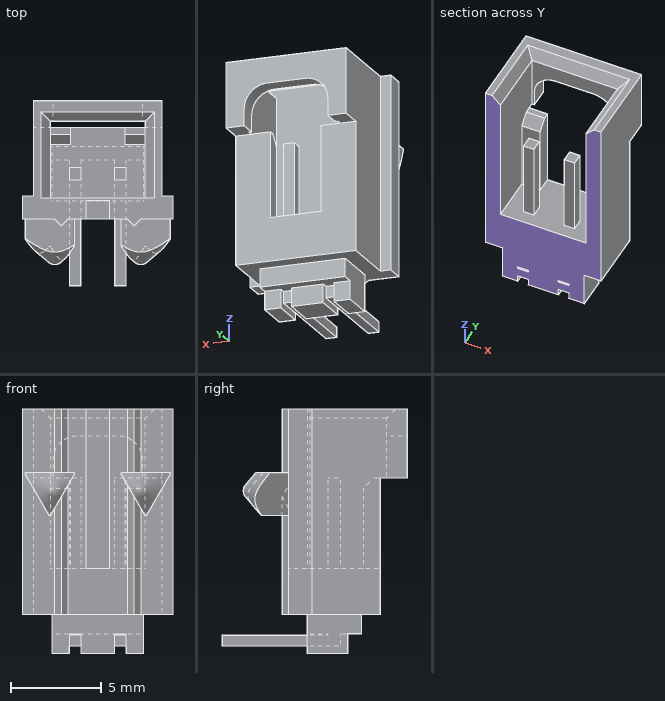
import cadquery as cq
import math


top_z = 13.59
body_bottom_z = 2.16
overhang_z = 9.75
floor_z = 4.72

plate_width = 8.39
plate_thickness = 1.29
rib_spacing = 4.05
rib_height = 0.37
slot_width = 1.29
slot_depth = 1.03

shell_width = 7.15
shell_back_y = 6.59
lower_back_y = 5.1

cavity_width = 5.27
cavity_front_y = 1.18
cavity_back_y = 5.44
mouth_chamfer = 0.52

window_width = 4.97
window_top_z = 12.08
window_corner_radius = 1.35

post_gap = 3.02
post_front_y = 4.15
post_ramp = 0.57

foot_width = 5.08
foot_front_y = 1.02
foot_step_y = 3.29
foot_back_y = 4.05
foot_step_z = 1.09

pin_spacing = 2.51
pin_width = 0.64
pin_post_front_y = 2.19
pin_post_back_y = 2.88
pin_tip_y = -3.7
pin_tail_bottom_z = 0.41
pin_tail_top_z = 1.02
pin_top_z = overhang_z

peg_spacing = 5.33
peg_top_z = 10.05
peg_side = 2.84
peg_edge_radius = 0.07
cone_spacing = 4.78
cone_center_z = 9.04
cone_slope = math.radians(40)
cone_tip_radius = 0.33
cone_tip_y = -2.53


def block(width, y_range, z_range, center_x=0):
    """Box centred on center_x that spans the given Y and Z ranges."""
    y0, y1 = y_range
    z0, z1 = z_range
    box = cq.Workplane("XY").box(width, y1 - y0, z1 - z0, centered=(True, False, False))
    return box.translate((center_x, y0, z0))


def side_profile(points, width, center_x=0):
    """Extrude a (Y, Z) outline across the given width, centred on center_x."""
    profile = cq.Workplane("YZ").polyline(points).close()
    return profile.extrude(width / 2, both=True).translate((center_x, 0, 0))


def make_shell():
    """Plate and socket walls, with the rear overhang, before hollowing."""
    plate = block(plate_width, (0, plate_thickness), (body_bottom_z, top_z))
    lower = block(shell_width, (0, lower_back_y), (body_bottom_z, top_z))
    upper = block(shell_width, (0, shell_back_y), (overhang_z, top_z))
    return plate.union(lower).union(upper)


def make_cavity():
    """Open socket with 45 degree lead-ins on its sides and back."""
    cavity = block(cavity_width, (cavity_front_y, cavity_back_y), (floor_z, top_z))
    mouth_half = cavity_width / 2 + mouth_chamfer
    side_lead_in = (
        cq.Workplane("XZ")
        .polyline([(-mouth_half, top_z), (mouth_half, top_z), (0, top_z - mouth_half)])
        .close()
        .extrude(-(shell_back_y - cavity_front_y))
        .translate((0, cavity_front_y, 0))
    )
    mouth_back_y = cavity_back_y + mouth_chamfer
    back_lead_in = side_profile(
        [
            (cavity_front_y, top_z),
            (mouth_back_y, top_z),
            (cavity_back_y, top_z - mouth_chamfer),
            (cavity_front_y, top_z - mouth_chamfer),
        ],
        2 * mouth_half,
    )
    return cavity.union(side_lead_in.intersect(back_lead_in))


def make_window():
    """Rear-wall opening with rounded upper corners, open at the bottom."""
    opening = block(window_width, (cavity_back_y, shell_back_y), (overhang_z, window_top_z))
    return opening.edges("|Y and >Z").fillet(window_corner_radius)


def make_corner_post(side):
    """Rear post whose top front edge slopes down into the cavity."""
    width = (cavity_width - post_gap) / 2
    outline = [
        (post_front_y, floor_z),
        (lower_back_y, floor_z),
        (lower_back_y, overhang_z),
        (post_front_y + post_ramp, overhang_z),
        (post_front_y, overhang_z - post_ramp),
    ]
    return side_profile(outline, width, side * (post_gap + width) / 2)


def make_rib(side):
    """V-shaped rib that runs the full height of the plate."""
    outline = [(-rib_height, 0), (0, -rib_height), (rib_height, 0)]
    rib = cq.Workplane("XY").polyline(outline).close().extrude(top_z - body_bottom_z)
    return rib.translate((side * rib_spacing / 2, 0, body_bottom_z))


def make_peg(side):
    """Downward-pointing triangular prism trimmed by an off-centre round-tipped cone."""
    base = [(-peg_side / 2, 0), (peg_side / 2, 0), (0, -peg_side * math.sin(math.pi / 3))]
    prism = cq.Workplane("XZ").polyline(base).close().extrude(-cone_tip_y)
    prism = prism.edges("|Y").fillet(peg_edge_radius)
    prism = prism.translate((side * peg_spacing / 2, 0, peg_top_z))

    dome_radius = cone_tip_radius / math.sin(cone_slope)
    dome_y = cone_tip_y + dome_radius * (1 - math.cos(cone_slope))
    dome_mid_x = dome_radius * math.sin(cone_slope / 2)
    dome_mid_y = cone_tip_y + dome_radius * (1 - math.cos(cone_slope / 2))
    cone_base_radius = cone_tip_radius - dome_y / math.tan(cone_slope)
    cone = (
        cq.Workplane("XY")
        .moveTo(0, cone_tip_y)
        .threePointArc((dome_mid_x, dome_mid_y), (cone_tip_radius, dome_y))
        .lineTo(cone_base_radius, 0)
        .lineTo(0, 0)
        .close()
        .revolve(360, (0, 0, 0), (0, 1, 0))
        .translate((side * cone_spacing / 2, 0, cone_center_z))
    )
    return prism.intersect(cone)


def make_foot():
    """Stepped block under the socket, with a through slot for each pin tail."""
    foot = block(foot_width, (foot_front_y, foot_back_y), (foot_step_z, body_bottom_z))
    foot = foot.union(block(foot_width, (foot_front_y, foot_step_y), (0, foot_step_z)))
    for side in (-1, 1):
        slot = block(pin_width, (foot_front_y, foot_step_y), (0, foot_step_z), side * pin_spacing / 2)
        foot = foot.cut(slot)
    return foot


def make_pin(side):
    """L-shaped square pin: upright in the socket, tail out past the plate."""
    outline = [
        (pin_tip_y, pin_tail_bottom_z),
        (pin_post_back_y, pin_tail_bottom_z),
        (pin_post_back_y, pin_top_z),
        (pin_post_front_y, pin_top_z),
        (pin_post_front_y, pin_tail_top_z),
        (pin_tip_y, pin_tail_top_z),
    ]
    return side_profile(outline, pin_width, side * pin_spacing / 2)


plate_slot = block(slot_width, (0, slot_depth), (floor_z, top_z))

result = make_shell().cut(make_cavity()).cut(make_window()).cut(plate_slot).union(make_foot())
for side in (-1, 1):
    result = result.union(make_corner_post(side))
    result = result.union(make_rib(side))
    result = result.union(make_peg(side))
    result = result.union(make_pin(side))